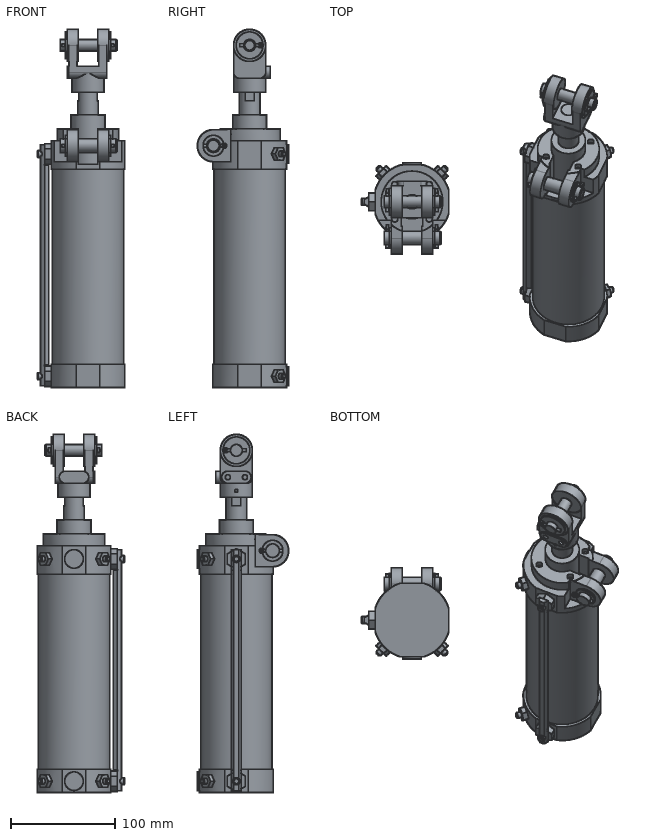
import cadquery as cq


COVER_HEIGHT = 22.7
HEAD_BOTTOM = 210.0
HEAD_SHOULDER = 237.5
HEAD_TOP = 248.7
COLLAR_TOP = 262.0
FORK_BOTTOM = 284.0
END_HEIGHT = 344.5

BARREL_DIA = 69.0
COVER_DIA = 74.5
COVER_ACROSS_FLATS = 71.0
HEAD_STEP_DIA = 59.3
COLLAR_DIA = 32.7
HEAD_SCREW_DIA = 6.0
HEAD_SCREW_DEPTH = 5.0
HEAD_SCREW_OFFSET = 16.5

END_FITTING_Z = 11.0
HEAD_FITTING_Z = 224.5
PORT_DIA = 18.0
PORT_REACH = 37.5
VALVE_ANGLES = (45, 135)
VALVE_HEX_ACROSS_FLATS = 12.0
VALVE_HEX_REACH = 42.0
VALVE_TIP_DIA = 6.0
VALVE_TIP_REACH = 47.0
NUT_ACROSS_FLATS = 17.2
TIP_CHAMFER = 1.0
FITTING_ROOT = 31.0

EYE_DIA = 31.0
EYE_RADIUS = EYE_DIA / 2
EYE_INNER = 9.3
EYE_OUTER = 20.0
WASHER_OUTER = 21.7

LUG_PIN_Y = -34.8
LUG_PIN_Z = 232.5
LUG_PIN_DIA = 13.0
LUG_WASHER_DIA = 20.0
LUG_FACE_Y = -18.0
SLOT_FLOOR = 214.5
SLOT_END_Y = -COLLAR_DIA / 4
SLOT_RELIEF_HALF = 10.5
SLOT_RELIEF_Y = -23.5

FORK_PIN_Z = END_HEIGHT - EYE_RADIUS
FORK_PIN_DIA = 11.5
FORK_WASHER_DIA = 26.0
FORK_ARM_INNER = 10.5
FORK_ARM_OUTER = 18.3
FORK_FLOOR = 309.0
PAD_Z = 303.0
PAD_RADIUS = 6.0
PAD_HOLE_OFFSET = 8.3
PAD_HOLE_DIA = 4.8
PAD_HOLE_DEPTH = 4.0
SIDE_PAD_X = -20.0
BACK_PAD_Y = 20.0
SET_PIN_HOLE_DIA = 3.0
SET_PIN_HOLE_Z = 290.0

ROD_DIA = 20.0
ROD_END_DIA = 13.8
ROD_FLATS = 18.0
ROD_FLAT_BOTTOM = 275.5

PIN_LEFT = -27.0
PIN_RIGHT = 28.0
PIN_CHAMFER = 1.0
COTTER_X = 23.8
COTTER_DIA = 3.0
COTTER_TAIL = -9.5
COTTER_LOOP_Y = 10.5
COTTER_LOOP_DIA = 4.8
COTTER_LOOP_HOLE = 2.3
COTTER_LOOP_WIDTH = 2.5

RAIL_X = -41.7
RAIL_ACROSS_FLATS = 8.3
RAIL_BOTTOM = 1.7
RAIL_TOP = 233.5
RAIL_BOLT_DIA = 7.0
RAIL_BOLT_END = -49.0
RAIL_NUT_GAP = 0.7

ACROSS_CORNERS = 2 / 3 ** 0.5


def block(x_range, y_range, z_range):
    """Box given by its lower and upper limit along each axis."""
    size = [high - low for low, high in (x_range, y_range, z_range)]
    return cq.Workplane().box(*size, centered=False).translate((x_range[0], y_range[0], z_range[0]))


def upright(diameter, z_low, z_high):
    """Cylinder on the Z axis."""
    return cq.Workplane(origin=(0, 0, z_low)).circle(diameter / 2).extrude(z_high - z_low)


def along_x(diameter, x_low, x_high, y, z):
    """Cylinder parallel to X."""
    return cq.Workplane("YZ", origin=(x_low, y, z)).circle(diameter / 2).extrude(x_high - x_low)


def along_y(diameter, y_low, y_high, x, z):
    """Cylinder parallel to Y."""
    return cq.Workplane("XZ", origin=(x, y_high, z)).circle(diameter / 2).extrude(y_high - y_low)


def mirrored(half):
    """The shape together with its mirror image across the middle plane x = 0."""
    return half.union(half.mirror("YZ"))


def flatted_cover(z_low, z_high):
    """Round cover with four flats."""
    half = COVER_ACROSS_FLATS / 2
    flats = block((-half, half), (-half, half), (z_low, z_high))
    return upright(COVER_DIA, z_low, z_high).intersect(flats)


def needle_valve(angle, z):
    """Hexagon with a round tip, pointing away from the axis."""
    hexagon = (
        cq.Workplane("YZ", origin=(FITTING_ROOT, 0, z))
        .polygon(6, VALVE_HEX_ACROSS_FLATS * ACROSS_CORNERS)
        .extrude(VALVE_HEX_REACH - FITTING_ROOT)
    )
    tip = along_x(VALVE_TIP_DIA, FITTING_ROOT, VALVE_TIP_REACH, 0, z).faces(">X").chamfer(TIP_CHAMFER)
    return hexagon.union(tip).rotate((0, 0, 0), (0, 0, 1), angle)


def cover_fittings(z):
    """Port boss, two needle valves and the rail nut of one cover."""
    port = along_y(PORT_DIA, FITTING_ROOT, PORT_REACH, 0, z)
    nut = (
        cq.Workplane("YZ", origin=(RAIL_X, 0, z))
        .transformed(rotate=(0, 0, 90))
        .polygon(6, NUT_ACROSS_FLATS * ACROSS_CORNERS)
        .extrude(-FITTING_ROOT - RAIL_X)
    )
    fittings = port.union(nut)
    for angle in VALVE_ANGLES:
        fittings = fittings.union(needle_valve(angle, z))
    return fittings


def make_barrel():
    """Barrel with its end cover."""
    tube = upright(BARREL_DIA, COVER_HEIGHT, HEAD_BOTTOM)
    return flatted_cover(0, COVER_HEIGHT).union(tube).union(cover_fittings(END_FITTING_Z))


def head_lug():
    """Lug on the +X side with its raised washer face."""
    lug_bottom = LUG_PIN_Z - EYE_RADIUS
    lug_top = LUG_PIN_Z + EYE_RADIUS
    web = block((EYE_INNER, EYE_OUTER), (LUG_PIN_Y, LUG_FACE_Y), (lug_bottom, lug_top))
    eye = along_x(EYE_DIA, EYE_INNER, EYE_OUTER, LUG_PIN_Y, LUG_PIN_Z)
    washer = along_x(LUG_WASHER_DIA, EYE_OUTER, WASHER_OUTER, LUG_PIN_Y, LUG_PIN_Z)
    return web.union(eye).union(washer)


def make_head():
    """Head cover with the rod collar and the lugs."""
    half = COVER_DIA / 2
    head = flatted_cover(HEAD_BOTTOM, HEAD_SHOULDER).union(upright(HEAD_STEP_DIA, HEAD_SHOULDER, HEAD_TOP))

    side_space = block((EYE_OUTER, half), (-half, LUG_FACE_Y), (LUG_PIN_Z - EYE_RADIUS, HEAD_TOP))
    head = head.cut(mirrored(side_space)).union(mirrored(head_lug()))

    slot = block((-EYE_INNER, EYE_INNER), (-half, SLOT_END_Y), (SLOT_FLOOR, HEAD_TOP))
    relief = block(
        (-SLOT_RELIEF_HALF, SLOT_RELIEF_HALF), (SLOT_RELIEF_Y, SLOT_END_Y), (SLOT_FLOOR, HEAD_TOP)
    )
    head = head.cut(slot).cut(relief).union(upright(COLLAR_DIA, SLOT_FLOOR, COLLAR_TOP))

    screw_holes = (
        cq.Workplane(origin=(0, 0, HEAD_TOP))
        .rect(2 * HEAD_SCREW_OFFSET, 2 * HEAD_SCREW_OFFSET, forConstruction=True)
        .vertices()
        .circle(HEAD_SCREW_DIA / 2)
        .extrude(-HEAD_SCREW_DEPTH)
    )
    pin_hole = along_x(LUG_PIN_DIA, -WASHER_OUTER, WASHER_OUTER, LUG_PIN_Y, LUG_PIN_Z)
    rod_hole = upright(ROD_DIA, HEAD_BOTTOM, COLLAR_TOP)
    head = head.cut(screw_holes).cut(pin_hole).cut(rod_hole)
    return head.union(cover_fittings(HEAD_FITTING_Z))


def make_rod():
    """Rod with two flats below its thinner end, which fills the fork bore."""
    shank = upright(ROD_DIA, HEAD_BOTTOM, FORK_BOTTOM)
    half = ROD_DIA / 2
    flat_cut = block((ROD_FLATS / 2, half), (-half, half), (ROD_FLAT_BOTTOM, FORK_BOTTOM))
    return shank.cut(mirrored(flat_cut)).union(upright(ROD_END_DIA, FORK_BOTTOM, FORK_FLOOR))


def pad_outline(plane, origin):
    """Slot-shaped pad outline, ready to extrude."""
    return cq.Workplane(plane, origin=origin).slot2D(2 * (PAD_HOLE_OFFSET + PAD_RADIUS), 2 * PAD_RADIUS)


def make_fork():
    """Fork with two eyes, a round neck, and pads on its -X and +Y sides."""
    body_bottom = PAD_Z - PAD_RADIUS
    body = block((-FORK_ARM_OUTER, FORK_ARM_OUTER), (-EYE_RADIUS, EYE_RADIUS), (body_bottom, FORK_PIN_Z))
    body = body.edges("|X and <Z").fillet(PAD_RADIUS)
    gap = block((-FORK_ARM_INNER, FORK_ARM_INNER), (-EYE_RADIUS, EYE_RADIUS), (FORK_FLOOR, FORK_PIN_Z))
    eye = along_x(EYE_DIA, EYE_INNER, EYE_OUTER, 0, FORK_PIN_Z)
    washer = along_x(FORK_WASHER_DIA, EYE_OUTER, WASHER_OUTER, 0, FORK_PIN_Z)
    fork = body.union(upright(EYE_DIA, FORK_BOTTOM, PAD_Z)).cut(gap).union(mirrored(eye.union(washer)))

    side_pad = pad_outline("YZ", (SIDE_PAD_X, 0, PAD_Z)).extrude(-FORK_ARM_INNER - SIDE_PAD_X)
    back_pad = pad_outline("XZ", (0, BACK_PAD_Y, PAD_Z)).extrude(BACK_PAD_Y)
    fork = fork.union(side_pad).union(back_pad)

    for y in (-PAD_HOLE_OFFSET, PAD_HOLE_OFFSET):
        fork = fork.cut(along_x(PAD_HOLE_DIA, SIDE_PAD_X, SIDE_PAD_X + PAD_HOLE_DEPTH, y, PAD_Z))
    fork = fork.cut(along_x(SET_PIN_HOLE_DIA, -EYE_RADIUS, -ROD_END_DIA / 2, 0, SET_PIN_HOLE_Z))
    fork = fork.cut(along_x(FORK_PIN_DIA, -WASHER_OUTER, WASHER_OUTER, 0, FORK_PIN_Z))
    return fork.cut(upright(ROD_END_DIA, FORK_BOTTOM, FORK_FLOOR))


def make_pin(diameter, y, z):
    """Hinge pin with a split pin through each end."""
    pin = along_x(diameter, PIN_LEFT, PIN_RIGHT, y, z).faces(">X").chamfer(PIN_CHAMFER)
    half_width = COTTER_LOOP_WIDTH / 2
    for x in (-COTTER_X, COTTER_X):
        shank = along_y(COTTER_DIA, y + COTTER_TAIL, y + COTTER_LOOP_Y, x, z)
        loop = along_x(COTTER_LOOP_DIA, x - half_width, x + half_width, y + COTTER_LOOP_Y, z)
        loop_hole = along_x(COTTER_LOOP_HOLE, x - half_width, x + half_width, y + COTTER_LOOP_Y, z)
        pin = pin.union(shank).union(loop).cut(loop_hole)
    return pin


def make_rail():
    """Hexagonal bar, halved where it lies on the nuts, with a bolt at each end."""
    corner_size = RAIL_ACROSS_FLATS * ACROSS_CORNERS
    bar = (
        cq.Workplane(origin=(RAIL_X, 0, RAIL_BOTTOM))
        .transformed(rotate=(0, 0, 90))
        .polygon(6, corner_size)
        .extrude(RAIL_TOP - RAIL_BOTTOM)
    )
    nut_clearance = NUT_ACROSS_FLATS * ACROSS_CORNERS / 2 + RAIL_NUT_GAP
    for z in (END_FITTING_Z, HEAD_FITTING_Z):
        seat = block(
            (RAIL_X, RAIL_X + corner_size), (-corner_size, corner_size), (z - nut_clearance, z + nut_clearance)
        )
        bolt = along_x(RAIL_BOLT_DIA, RAIL_BOLT_END, RAIL_X, 0, z).faces("<X").chamfer(TIP_CHAMFER)
        bar = bar.cut(seat).union(bolt)
    return bar


barrel = make_barrel()
head = make_head()
rod = make_rod()
fork = make_fork()
lug_pin = make_pin(LUG_PIN_DIA, LUG_PIN_Y, LUG_PIN_Z)
fork_pin = make_pin(FORK_PIN_DIA, 0, FORK_PIN_Z)
rail = make_rail()

result = cq.Compound.makeCompound(
    [
        barrel.val(),
        head.val(),
        rod.val(),
        fork.val(),
        lug_pin.val(),
        fork_pin.val(),
        rail.val(),
    ]
)